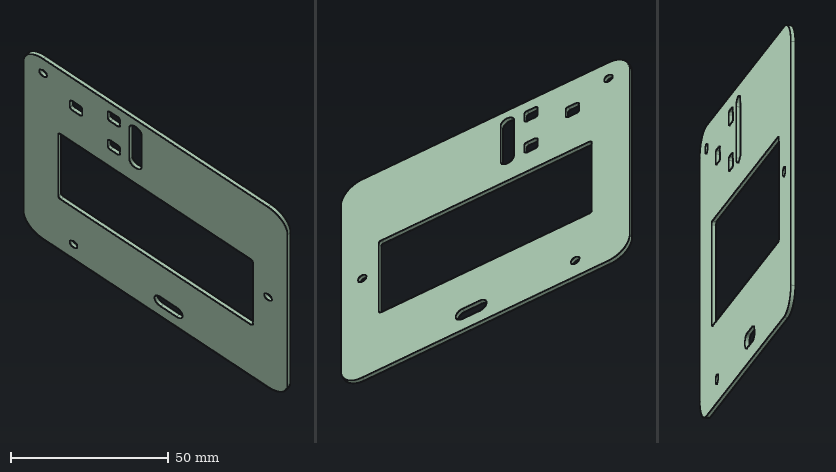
import cadquery as cq

plate_width = 108.0
plate_height = 99.0
plate_thickness = 1.5
plate_corner_radius = 8.0

window_width = 79.6
window_height = 35.7
window_corner_radius = 1.0
window_center = (0, -3.5)

square_side = 5.0
square_corner_radius = 1.0
square_column_x = -17.1
square_centers = [(-32.5, 34.3), (square_column_x, 42.0), (square_column_x, 26.5)]

slot_width = 5.0
upright_slot_length = 22.5
upright_slot_center = (-8.2, 34.3)
level_slot_length = 11.5
level_slot_center = (5.3, -41.5)

hole_diameter = 3.1
hole_centers = [(-46.0, 41.6), (46.0, 0), (-33.6, -41.5)]


def front_plane():
    """XZ sketch plane midway through the plate."""
    return cq.Workplane("XZ")


def rounded_block(width, height, corner_radius, center):
    """Plate-thick rectangular block with rounded corners."""
    return (
        front_plane()
        .center(*center)
        .rect(width, height)
        .extrude(plate_thickness / 2, both=True)
        .edges("|Y")
        .fillet(corner_radius)
    )


def slot_block(length, center, angle):
    """Plate-thick round-ended block, turned by angle from the X direction."""
    return (
        front_plane()
        .center(*center)
        .slot2D(length, slot_width, angle)
        .extrude(plate_thickness / 2, both=True)
    )


result = rounded_block(plate_width, plate_height, plate_corner_radius, (0, 0))

result = result.cut(rounded_block(window_width, window_height, window_corner_radius, window_center))

for square_center in square_centers:
    result = result.cut(rounded_block(square_side, square_side, square_corner_radius, square_center))

result = result.cut(slot_block(upright_slot_length, upright_slot_center, 90))
result = result.cut(slot_block(level_slot_length, level_slot_center, 0))

hole_pins = (
    front_plane()
    .pushPoints(hole_centers)
    .circle(hole_diameter / 2)
    .extrude(plate_thickness / 2, both=True)
)
result = result.cut(hole_pins)